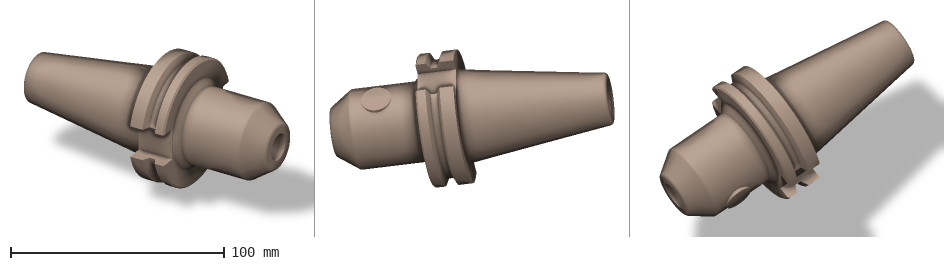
import cadquery as cq
import math

total_length = 131.8
flange_start = 69.2
groove_start = 75.8
groove_end = 82.5
flange_end = 87.4
nose_cone_start = 120.9

taper_small_radius = 12.3
taper_large_diameter = 44.4
taper_end_round = 1.5
taper_root_fillet = 1.3

flange_radius = 31.6
groove_floor_radius = 28.1
groove_flank_run = 1.8
flange_chamfer = 0.8

body_diameter = 38.1
collar_height = 3.2
nose_angle = 35.0
nose_round = 2.0

slot_width = 16.3
slot_floor_plus_y = 24.0
slot_floor_minus_y = 22.7

through_bore_diameter = 13.5
mouth_bore_diameter = 16.2
mouth_bore_depth = 7.6
mouth_chamfer = 1.2

screw_diameter = 14.2
screw_x = 108.1
screw_projection = 0.3

body_radius = body_diameter / 2
taper_large_radius = taper_large_diameter / 2
nose_cone_length = total_length - nose_cone_start
nose_face_radius = body_radius - nose_cone_length * math.tan(math.radians(nose_angle))


def circle_at(x, radius):
    """Select the circular edge of the given radius at station x."""
    margin = 0.01
    return cq.selectors.BoxSelector(
        (x - margin, -radius - margin, -radius - margin),
        (x + margin, radius + margin, radius + margin),
        boundingbox=True,
    )


def turned_body():
    """Revolve the outer profile about X, then round its corners."""
    profile = [
        (0, 0),
        (0, taper_small_radius),
        (flange_start, taper_large_radius),
        (flange_start, flange_radius),
        (groove_start, flange_radius),
        (groove_start + groove_flank_run, groove_floor_radius),
        (groove_end - groove_flank_run, groove_floor_radius),
        (groove_end, flange_radius),
        (flange_end - flange_chamfer, flange_radius),
        (flange_end, flange_radius - flange_chamfer),
        (flange_end, body_radius + collar_height),
        (flange_end + collar_height, body_radius),
        (nose_cone_start, body_radius),
        (total_length, nose_face_radius),
        (total_length, 0),
    ]
    body = cq.Workplane("XY").polyline(profile).close().revolve(360, (0, 0, 0), (1, 0, 0))
    rounds = [
        (0, taper_small_radius, taper_end_round),
        (flange_start, taper_large_radius, taper_root_fillet),
        (nose_cone_start, body_radius, nose_round),
        (total_length, nose_face_radius, nose_round),
    ]
    for x, radius, round_radius in rounds:
        body = body.edges(circle_at(x, radius)).fillet(round_radius)
    return body


def drive_slot(side, floor_distance):
    """Block that cuts one slot across the flange and its root fillet; side is +1 for +Y, -1 for -Y."""
    slot_start = flange_start - taper_root_fillet
    slot_depth = flange_radius - floor_distance
    block = cq.Workplane("XY").box(
        flange_end - slot_start, slot_depth, slot_width, centered=(False, True, True)
    )
    return block.translate((slot_start, side * (floor_distance + slot_depth / 2), 0))


def axial_bore():
    """Through bore with a wider, chamfered mouth at the small end of the taper."""
    through_radius = through_bore_diameter / 2
    mouth_radius = mouth_bore_diameter / 2
    profile = [
        (0, 0),
        (0, mouth_radius + mouth_chamfer),
        (mouth_chamfer, mouth_radius),
        (mouth_bore_depth, mouth_radius),
        (mouth_bore_depth, through_radius),
        (total_length, through_radius),
        (total_length, 0),
    ]
    return cq.Workplane("XY").polyline(profile).close().revolve(360, (0, 0, 0), (1, 0, 0))


def clamping_screw():
    """Radial pin from the axis to just above the +Y side of the body."""
    length = body_radius + screw_projection
    return cq.Workplane("XZ", origin=(screw_x, 0, 0)).circle(screw_diameter / 2).extrude(-length)


result = (
    turned_body()
    .union(clamping_screw())
    .cut(drive_slot(1, slot_floor_plus_y))
    .cut(drive_slot(-1, slot_floor_minus_y))
    .cut(axial_bore())
)